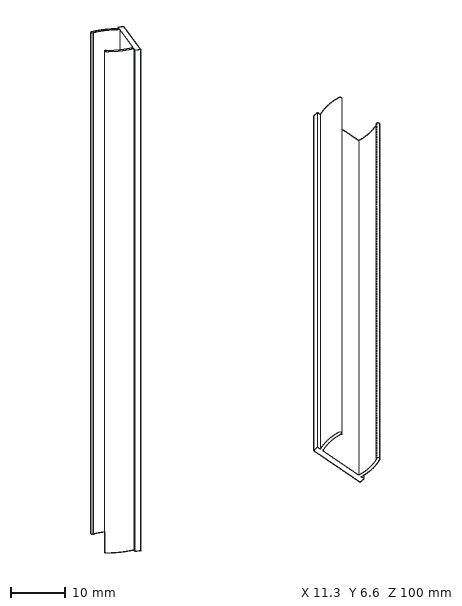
import cadquery as cq
import math

length = 100.0
width = 11.3
depth = 6.6

plate_thickness = 1.1
leg_thickness = 0.6
leg_bow = 0.35
leg_inset = 0.7
nose_radius = 0.4

plate_back = depth / 2
plate_front = plate_back - plate_thickness
root_outer_x = width / 2 - leg_inset
root_inner_x = root_outer_x - leg_thickness

nose_center_y = -depth / 2 + nose_radius
lean = 2 * math.atan(2 * leg_bow / (plate_front - nose_center_y))
nose_start_y = nose_center_y - nose_radius * math.sin(lean)
nose_center_x = root_outer_x - nose_radius * math.cos(lean)
nose_inner_x = nose_center_x - nose_radius
outer_middle_y = (plate_front + nose_start_y) / 2
inner_middle_y = (plate_front + nose_center_y) / 2


def make_plate():
    """Flat back strip running the full length."""
    return (
        cq.Workplane("XY")
        .center(0, (plate_back + plate_front) / 2)
        .rect(width, plate_thickness)
        .extrude(length)
    )


def make_leg():
    """Curved leg on the +X side, ending in a rounded nose with a small inner ledge."""
    return (
        cq.Workplane("XY")
        .moveTo(root_outer_x, plate_front)
        .threePointArc((root_outer_x + leg_bow, outer_middle_y), (root_outer_x, nose_start_y))
        .threePointArc((nose_center_x, -depth / 2), (nose_inner_x, nose_center_y))
        .lineTo(root_inner_x, nose_center_y)
        .threePointArc((root_inner_x + leg_bow, inner_middle_y), (root_inner_x, plate_front))
        .close()
        .extrude(length)
    )


right_leg = make_leg()
left_leg = right_leg.mirror("YZ")
result = make_plate().union(right_leg).union(left_leg)